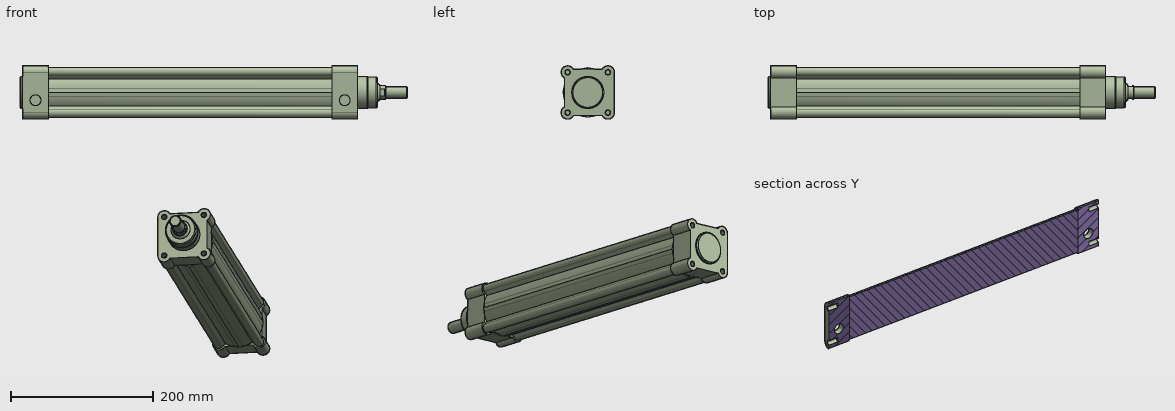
import cadquery as cq
import math


TOTAL_LENGTH = 545.5
REAR_BOSS_LENGTH = 4.0
CAP_LENGTH = 36.0
BARREL_LENGTH = 399.0
rear_cap_x = REAR_BOSS_LENGTH
barrel_x = rear_cap_x + CAP_LENGTH
front_cap_x = barrel_x + BARREL_LENGTH
front_face_x = front_cap_x + CAP_LENGTH

CAP_SIZE = 75.0
SCREW_OFFSET = 28.5
RECESS_LEVEL = 32.5
SCREW_HOLE_DIAMETER = 6.5
SCREW_HOLE_CHAMFER = 0.5
SCREW_HOLE_DEPTH = 16.5
PORT_DIAMETER = 15.0
PORT_DEPTH = 13.5
PORT_DROP = 11.0
half_cap = CAP_SIZE / 2
lobe_radius = half_cap - SCREW_OFFSET
corner_points = [(sy * SCREW_OFFSET, sz * SCREW_OFFSET) for sy in (-1, 1) for sz in (-1, 1)]

BOSS_DIAMETER = 45.0
REAR_BOSS_CHAMFER = 1.5
COLLAR_BASE_LENGTH = 13.0
COLLAR_LENGTH = 28.0
COLLAR_STEP = 0.5
COLLAR_STEP_LENGTH = 1.5
COLLAR_CHAMFER = 1.5
WIPER_LENGTH = 4.0
WIPER_BASE_RADIUS = 13.5
WIPER_TIP_RADIUS = 10.5
boss_radius = BOSS_DIAMETER / 2
collar_radius = boss_radius - COLLAR_STEP

TUBE_RADIUS = 34.5
RIDGE_HALF_WIDTH = 5.7
RIB_OFFSET = 29.0
RIB_RADIUS = 6.5

ROD_DIAMETER = 19.5
ROD_FLAT_WIDTH = 17.0
ROD_NECK_LENGTH = 6.0
ROD_LAND_LENGTH = 1.5
ROD_SHOULDER_LENGTH = 1.0
STUD_DIAMETER = 16.5
STUD_CHAMFER = 1.0
wiper_tip_x = front_face_x + COLLAR_LENGTH + WIPER_LENGTH
land_end_x = wiper_tip_x + ROD_NECK_LENGTH + ROD_LAND_LENGTH
stud_x = land_end_x + ROD_SHOULDER_LENGTH


def cross_section(x):
    """Workplane across the axis at x: local x is Y and local y is Z."""
    return cq.Workplane("YZ", origin=(x, 0, 0))


def revolved(profile):
    """Solid of revolution about the X axis from (x, radius) points."""
    return cq.Workplane("XY").polyline(profile).close().revolve(360, (0, 0, 0), (1, 0, 0))


def cap_block(x):
    """Cap with four round corner lobes, flat on the -Y side and recessed on the other sides."""
    block = cross_section(x).rect(2 * RECESS_LEVEL, 2 * RECESS_LEVEL).extrude(CAP_LENGTH)
    corners = cross_section(x).rect(CAP_SIZE, CAP_SIZE).extrude(CAP_LENGTH)
    for width, height in ((CAP_SIZE, 2 * SCREW_OFFSET), (2 * SCREW_OFFSET, CAP_SIZE)):
        corners = corners.cut(cross_section(x).rect(width, height).extrude(CAP_LENGTH))
    lobes = cross_section(x).pushPoints(corner_points).circle(lobe_radius).extrude(CAP_LENGTH)
    flat_side = (
        cross_section(x)
        .center(-(half_cap + SCREW_OFFSET) / 2, 0)
        .rect(lobe_radius, 2 * SCREW_OFFSET)
        .extrude(CAP_LENGTH)
    )
    return block.cut(corners).union(lobes).union(flat_side)


def port(x):
    """Air port entering from the -Y side, centred along a cap that starts at x."""
    return (
        cq.Workplane("XZ", origin=(x + CAP_LENGTH / 2, -half_cap, -PORT_DROP))
        .circle(PORT_DIAMETER / 2)
        .extrude(-PORT_DEPTH)
    )


def screw_holes(face_x, direction):
    """Blind chamfered corner holes from face_x, running in the given direction along X."""
    hole_radius = SCREW_HOLE_DIAMETER / 2
    hole = revolved([
        (face_x, 0),
        (face_x, hole_radius + SCREW_HOLE_CHAMFER),
        (face_x + direction * SCREW_HOLE_CHAMFER, hole_radius),
        (face_x + direction * SCREW_HOLE_DEPTH, hole_radius),
        (face_x + direction * SCREW_HOLE_DEPTH, 0),
    ])
    holes = cq.Workplane("YZ")
    for y, z in corner_points:
        holes = holes.add(hole.translate((0, y, z)))
    return holes.combine()


def make_rear_cap():
    boss = (
        cross_section(0)
        .circle(boss_radius)
        .extrude(REAR_BOSS_LENGTH)
        .faces("<X")
        .chamfer(REAR_BOSS_CHAMFER)
    )
    cap = cap_block(rear_cap_x).union(boss)
    return cap.cut(port(rear_cap_x)).cut(screw_holes(rear_cap_x, 1))


def make_front_cap():
    step_x = front_face_x + COLLAR_BASE_LENGTH
    collar_end_x = front_face_x + COLLAR_LENGTH
    collar = revolved([
        (front_face_x, 0),
        (front_face_x, boss_radius),
        (step_x, boss_radius),
        (step_x + COLLAR_STEP_LENGTH, collar_radius),
        (collar_end_x - COLLAR_CHAMFER, collar_radius),
        (collar_end_x, collar_radius - COLLAR_CHAMFER),
        (collar_end_x, WIPER_BASE_RADIUS),
        (wiper_tip_x, WIPER_TIP_RADIUS),
        (wiper_tip_x, 0),
    ])
    rod_bore = cross_section(front_cap_x).circle(ROD_DIAMETER / 2).extrude(wiper_tip_x - front_cap_x)
    cap = cap_block(front_cap_x).union(collar)
    return cap.cut(port(front_cap_x)).cut(screw_holes(front_face_x, -1)).cut(rod_bore)


def make_barrel():
    barrel = cross_section(barrel_x).circle(TUBE_RADIUS).extrude(BARREL_LENGTH)

    tangent_angle = math.asin(RIDGE_HALF_WIDTH / TUBE_RADIUS)
    ridge_foot = TUBE_RADIUS * math.cos(tangent_angle)
    ridge_peak = TUBE_RADIUS / math.cos(tangent_angle)
    ridge = (
        cross_section(barrel_x)
        .polyline([(0, 0), (ridge_foot, -RIDGE_HALF_WIDTH), (ridge_peak, 0), (ridge_foot, RIDGE_HALF_WIDTH)])
        .close()
        .extrude(BARREL_LENGTH)
    )

    rib_reach = RIB_OFFSET * math.sqrt(2)
    rib = (
        cross_section(barrel_x)
        .moveTo(0, -RIB_RADIUS)
        .lineTo(rib_reach, -RIB_RADIUS)
        .threePointArc((rib_reach + RIB_RADIUS, 0), (rib_reach, RIB_RADIUS))
        .lineTo(0, RIB_RADIUS)
        .close()
        .extrude(BARREL_LENGTH)
    )

    for quarter in range(4):
        angle = 90 * quarter
        barrel = barrel.union(ridge.rotate((0, 0, 0), (1, 0, 0), angle))
        barrel = barrel.union(rib.rotate((0, 0, 0), (1, 0, 0), angle + 45))
    return barrel


def make_rod():
    rod_radius = ROD_DIAMETER / 2
    stud_radius = STUD_DIAMETER / 2
    rod = revolved([
        (front_cap_x, 0),
        (front_cap_x, rod_radius),
        (land_end_x, rod_radius),
        (stud_x, stud_radius),
        (TOTAL_LENGTH - STUD_CHAMFER, stud_radius),
        (TOTAL_LENGTH, stud_radius - STUD_CHAMFER),
        (TOTAL_LENGTH, 0),
    ])
    flat_cut_depth = rod_radius - ROD_FLAT_WIDTH / 2
    for side in (-1, 1):
        flat = cq.Workplane("XY").box(ROD_NECK_LENGTH, flat_cut_depth, ROD_DIAMETER).translate(
            (wiper_tip_x + ROD_NECK_LENGTH / 2, side * (rod_radius - flat_cut_depth / 2), 0)
        )
        rod = rod.cut(flat)
    return rod


rear_cap = make_rear_cap()
barrel = make_barrel()
front_cap = make_front_cap()
rod = make_rod()

result = cq.Compound.makeCompound([rear_cap.val(), barrel.val(), front_cap.val(), rod.val()])